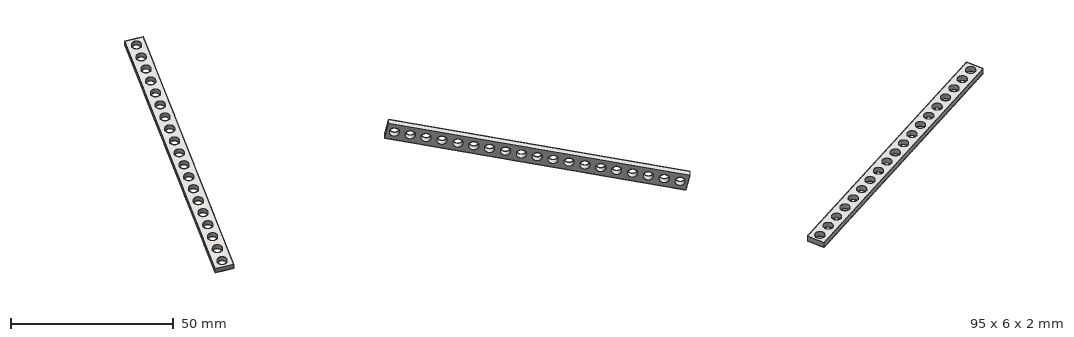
import cadquery as cq

length = 95.0
width = 6.0
thickness = 2.0
hole_count = 19
hole_diameter = 3.1
hole_pitch = length / hole_count

strip = cq.Workplane("XY").box(length, width, thickness)

result = (
    strip.faces(">Z")
    .workplane()
    .rarray(hole_pitch, 0.95, hole_count, 1)
    .hole(hole_diameter)
)